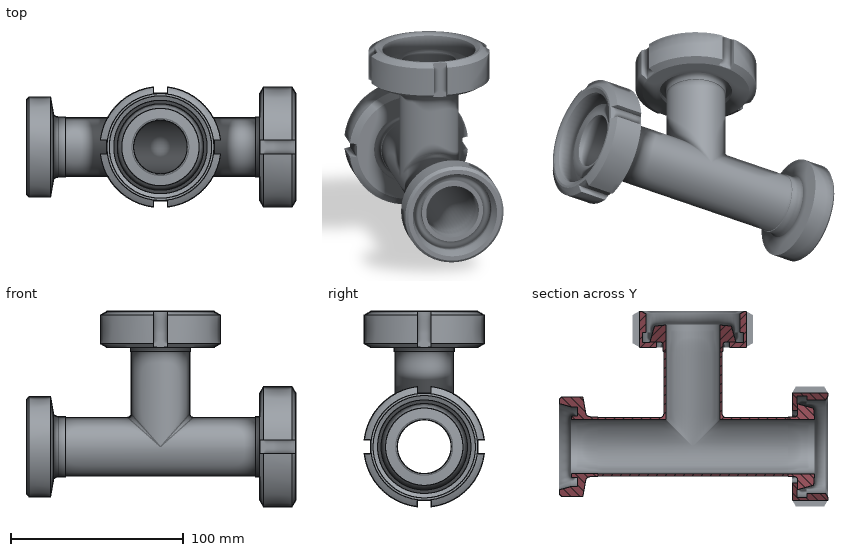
import cadquery as cq
import math

BORE_D = 31.0
PIPE_D = 34.0
WELD_D = 35.0
ARM_LENGTH = 55.0
CROTCH_RADIUS = 2.0
WELD_LENGTH = 3.9

NUT_END = 78.5
NUT_LENGTH = 21.0
NUT_D = 70.0
NUT_FACE_D = 62.0
NUT_CHAMFER_LENGTH = 2.3
NUT_HOLE_D = 42.0
NUT_WALL = 3.1
THREAD_D = 54.1
THREAD_MOUTH_D = 59.3
THREAD_MOUTH_DEPTH = 1.5
RELIEF_D = 58.3
RELIEF_LENGTH = 5.5
SLOT_WIDTH = 8.0
SLOT_FLOOR_D = 62.4
SLOT_COUNT = 4

LINER_END = 70.5
LINER_LIP_D = 32.9
LINER_FACE_D = 44.8
LINER_FACE_SLOPE = 5.0
LINER_FLANGE_D = 50.0

MALE_LENGTH = 22.5
MALE_D = 58.0
MALE_NECK_FILLET = 4.0
MALE_FILLET_LENGTH = 2.8
MALE_CHAMFER = 1.5
BACK_TAPER = 10.0
SEAT_MOUTH_D = 49.8
SEAT_CONE_DEPTH = 7.0
GROOVE_OUTER_D = 45.9
GROOVE_INNER_D = 36.0
GROOVE_DEPTH = 3.5


def cylinder(diameter, length):
    """Solid cylinder rising from the origin along Z."""
    return cq.Workplane("XY").circle(diameter / 2).extrude(length)


def turned(profile):
    """Revolve a profile drawn as (radius, height) about the Z axis."""
    return profile.close().revolve(360, (0, 0, 0), (0, 1, 0))


def to_run_end(body, side):
    """Lay a body standing on +Z along the run: side 1 is +X, side -1 is -X."""
    return body.rotate((0, 0, 0), (0, 1, 0), 90 * side)


def make_tee():
    run = to_run_end(cylinder(PIPE_D, 2 * ARM_LENGTH).translate((0, 0, -ARM_LENGTH)), 1)
    outer = run.union(cylinder(PIPE_D, ARM_LENGTH))
    outer = outer.edges("%ELLIPSE").fillet(CROTCH_RADIUS)
    run_bore = to_run_end(cylinder(BORE_D, 2 * ARM_LENGTH).translate((0, 0, -ARM_LENGTH)), 1)
    return outer.cut(run_bore).cut(cylinder(BORE_D, ARM_LENGTH))


def make_nut():
    back = NUT_END - NUT_LENGTH
    floor = back + NUT_WALL
    ring = turned(
        cq.Workplane("XZ")
        .moveTo(NUT_HOLE_D / 2, back)
        .lineTo(NUT_FACE_D / 2, back)
        .lineTo(NUT_D / 2, back + NUT_CHAMFER_LENGTH)
        .lineTo(NUT_D / 2, NUT_END - NUT_CHAMFER_LENGTH)
        .lineTo(NUT_FACE_D / 2, NUT_END)
        .lineTo(THREAD_MOUTH_D / 2, NUT_END)
        .lineTo(THREAD_D / 2, NUT_END - THREAD_MOUTH_DEPTH)
        .lineTo(THREAD_D / 2, floor + RELIEF_LENGTH)
        .lineTo(RELIEF_D / 2, floor + RELIEF_LENGTH)
        .lineTo(RELIEF_D / 2, floor)
        .lineTo(NUT_HOLE_D / 2, floor)
    )
    slot = cq.Workplane("XY").box(NUT_D, SLOT_WIDTH, NUT_LENGTH, centered=(False, True, False))
    slot = slot.translate((SLOT_FLOOR_D / 2, 0, back))
    for i in range(SLOT_COUNT):
        ring = ring.cut(slot.rotate((0, 0, 0), (0, 0, 1), i * 360 / SLOT_COUNT))
    return ring


def make_liner():
    flange_back = NUT_END - NUT_LENGTH + NUT_WALL
    neck = WELD_D / 2
    neck_end = ARM_LENGTH + WELD_LENGTH
    neck_fillet = flange_back - neck_end
    face_drop = (LINER_FACE_D - LINER_LIP_D) / 2 * math.tan(math.radians(LINER_FACE_SLOPE))
    return turned(
        cq.Workplane("XZ")
        .moveTo(BORE_D / 2, ARM_LENGTH)
        .lineTo(neck, ARM_LENGTH)
        .lineTo(neck, neck_end)
        .radiusArc((neck + neck_fillet, flange_back), neck_fillet)
        .lineTo(LINER_FLANGE_D / 2, flange_back)
        .lineTo(LINER_FACE_D / 2, LINER_END - face_drop)
        .lineTo(LINER_LIP_D / 2, LINER_END)
        .lineTo(BORE_D / 2, LINER_END)
    )


def make_male_end():
    end = ARM_LENGTH + MALE_LENGTH
    neck = WELD_D / 2
    neck_end = ARM_LENGTH + WELD_LENGTH
    taper = math.radians(BACK_TAPER)
    fillet_rise = MALE_NECK_FILLET - math.sqrt(MALE_NECK_FILLET**2 - MALE_FILLET_LENGTH**2)
    fillet_end_radius = neck + fillet_rise
    fillet_end_height = neck_end + MALE_FILLET_LENGTH
    rim_start = fillet_end_height + (MALE_D / 2 - fillet_end_radius) * math.tan(taper)
    return turned(
        cq.Workplane("XZ")
        .moveTo(BORE_D / 2, ARM_LENGTH)
        .lineTo(neck, ARM_LENGTH)
        .lineTo(neck, neck_end)
        .radiusArc((fillet_end_radius, fillet_end_height), MALE_NECK_FILLET)
        .lineTo(MALE_D / 2, rim_start)
        .lineTo(MALE_D / 2, end - MALE_CHAMFER)
        .lineTo(MALE_D / 2 - MALE_CHAMFER, end)
        .lineTo(SEAT_MOUTH_D / 2, end)
        .lineTo(GROOVE_OUTER_D / 2, end - SEAT_CONE_DEPTH)
        .lineTo(GROOVE_OUTER_D / 2, end - SEAT_CONE_DEPTH - GROOVE_DEPTH)
        .lineTo(GROOVE_INNER_D / 2, end - SEAT_CONE_DEPTH - GROOVE_DEPTH)
        .lineTo(GROOVE_INNER_D / 2, end - SEAT_CONE_DEPTH)
        .lineTo(BORE_D / 2, end - SEAT_CONE_DEPTH)
    )


tee = make_tee()
male_end = to_run_end(make_male_end(), -1)
liners = [make_liner(), to_run_end(make_liner(), 1)]
nuts = [make_nut(), to_run_end(make_nut(), 1)]

result = cq.Compound.makeCompound(
    [tee.val(), male_end.val()] + [body.val() for body in liners + nuts]
)